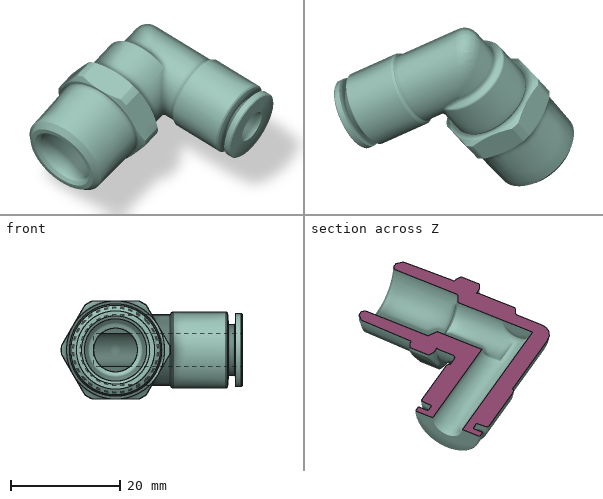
import cadquery as cq
import math


elbow_radius = 6.5
corner_tangent = 0.53

sleeve_start = 9.85
sleeve_end = 20.55
sleeve_radius = 7.0
sleeve_root_fillet = 0.27
sleeve_entry_length = 0.4
sleeve_end_chamfer = 0.27
sleeve_face_slope = 0.17
neck_radius = 4.7
collar_start = 21.95
collar_root = 0.15
outlet_end = 23.22
collar_radius = 6.73
collar_chamfer = 0.2

shoulder_start = 1.7
shoulder_end = 2.5
shoulder_fillet = 0.45
junction_fillet = 0.58
edge_margin = 0.05
body_radius = 7.9
body_end = 10.13
hex_start = 10.47
undercut_radius = 7.7
hex_end = 15.47
hex_flats = 18.0
hex_corner_radius = 9.95
hex_chamfer_angle = 30
thread_start_radius = 8.45
thread_end_radius = 8.2
thread_end = 25.98
stem_end = 27.0
stem_tip_radius = 7.17

mouth_radius = 6.25
mouth_chamfer = 0.55
counterbore_radius = mouth_radius - mouth_chamfer
counterbore_depth = 13.6
passage_radius = 4.0
cone_length = passage_radius / 4
cross_bore_radius = 3.05


def revolve_stem(profile):
    """Turn (radius, distance) points, closed back to the axis, about the stem axis."""
    points = [(0, -profile[0][1])]
    points += [(radius, -distance) for radius, distance in profile]
    points += [(0, -profile[-1][1])]
    return cq.Workplane("XY").polyline(points).close().revolve(360, (0, 0), (0, 1))


def revolve_outlet(profile):
    """Turn (distance, radius) points, closed back to the axis, about the outlet axis."""
    points = [(profile[0][0], 0)] + profile + [(profile[-1][0], 0)]
    return cq.Workplane("XY").polyline(points).close().revolve(360, (0, 0), (1, 0))


def prism(points):
    """Prism along Z, tall enough to contain the whole elbow."""
    return cq.Workplane("XY").polyline(points).close().extrude(2 * elbow_radius, both=True)


def make_corner():
    """Ellipsoid wedge that meets both tubes tangentially along planes through the origin."""
    along_diagonal = math.sqrt(1 + corner_tangent)
    across_diagonal = math.sqrt(1 - corner_tangent)
    stretch = cq.Matrix([
        [along_diagonal, 0, 0, 0],
        [0, across_diagonal, 0, 0],
        [0, 0, 1, 0],
    ])
    half_angle = math.degrees(math.atan2(across_diagonal, along_diagonal))
    wedge = (
        cq.Workplane("XZ")
        .moveTo(0, -elbow_radius)
        .threePointArc((elbow_radius, 0), (0, elbow_radius))
        .close()
        .revolve(2 * half_angle, (0, 0), (0, 1))
        .rotate((0, 0, 0), (0, 0, 1), -half_angle)
    )
    corner = cq.Workplane(wedge.val().transformGeometry(stretch))
    return corner.rotate((0, 0, 0), (0, 0, 1), 135)


def make_elbow():
    """Two equal tubes cut back to the planes where the rounded corner begins."""
    reach = 2 * elbow_radius
    outlet_tube = revolve_outlet([(-elbow_radius, elbow_radius), (sleeve_start, elbow_radius)])
    outlet_tube = outlet_tube.intersect(prism([
        (0, 0),
        (-corner_tangent * reach, reach),
        (reach, reach),
        (reach, -reach),
        (0, -reach),
    ]))
    stem_tube = revolve_stem([(elbow_radius, -elbow_radius), (elbow_radius, body_end)])
    stem_tube = stem_tube.intersect(prism([
        (0, 0),
        (-reach, corner_tangent * reach),
        (-reach, -reach),
        (reach, -reach),
        (reach, 0),
    ]))
    return outlet_tube.union(stem_tube).union(make_corner())


def make_outlet():
    """Sleeve, neck and release collar."""
    root_end = sleeve_start + sleeve_root_fillet
    root_radius = elbow_radius + sleeve_root_fillet
    arc_offset = sleeve_root_fillet * math.sqrt(0.5)
    return (
        cq.Workplane("XY")
        .moveTo(sleeve_start, 0)
        .lineTo(sleeve_start, elbow_radius)
        .threePointArc(
            (sleeve_start + arc_offset, root_radius - arc_offset),
            (root_end, root_radius),
        )
        .lineTo(root_end + sleeve_entry_length, sleeve_radius)
        .lineTo(sleeve_end - sleeve_end_chamfer, sleeve_radius)
        .lineTo(sleeve_end, sleeve_radius - sleeve_end_chamfer)
        .lineTo(sleeve_end + sleeve_face_slope, neck_radius)
        .lineTo(collar_start - collar_root, neck_radius)
        .lineTo(collar_start, neck_radius + collar_root)
        .lineTo(collar_start, collar_radius)
        .lineTo(outlet_end - collar_chamfer, collar_radius)
        .lineTo(outlet_end, collar_radius - collar_chamfer)
        .lineTo(outlet_end, 0)
        .close()
        .revolve(360, (0, 0), (1, 0))
    )


def make_hex():
    """Hexagon with its corners turned down and both faces chamfered."""
    corner_diameter = hex_flats / math.cos(math.radians(30))
    hexagon = (
        cq.Workplane("XZ", origin=(0, -hex_start, 0))
        .polygon(6, corner_diameter)
        .extrude(hex_end - hex_start)
    )
    face_radius = hex_flats / 2
    chamfer = (hex_corner_radius - face_radius) * math.tan(math.radians(hex_chamfer_angle))
    envelope = revolve_stem([
        (face_radius, hex_start),
        (hex_corner_radius, hex_start + chamfer),
        (hex_corner_radius, hex_end - chamfer),
        (face_radius, hex_end),
    ])
    return hexagon.intersect(envelope)


def ring_selector(distance):
    """Select circular edges around the stem axis at one distance along it."""
    return cq.selectors.BoxSelector(
        (-body_radius, -distance - edge_margin, -body_radius),
        (body_radius, -distance + edge_margin, body_radius),
    )


def make_body():
    """Elbow blended into the wider stem body below its sloped, rounded shoulder."""
    stem_body = revolve_stem([
        (elbow_radius, shoulder_start),
        (body_radius, shoulder_end),
        (body_radius, body_end),
    ])
    shoulder_edge = ring_selector(shoulder_end)
    stem_body = stem_body.edges(shoulder_edge).fillet(shoulder_fillet)
    body = make_elbow().union(stem_body)
    junction_edges = cq.selectors.BoxSelector(
        (0, -elbow_radius, -elbow_radius),
        (body_radius - edge_margin, -shoulder_start, elbow_radius),
    )
    shoulder_root = ring_selector(shoulder_start)
    return body.edges(junction_edges + shoulder_root).fillet(junction_fillet)


def make_thread():
    """Undercut above the hexagon, then the tapered thread blank with a chamfered tip."""
    return revolve_stem([
        (body_radius, body_end),
        (undercut_radius, hex_start),
        (undercut_radius, hex_end),
        (thread_start_radius, hex_end),
        (thread_end_radius, thread_end),
        (stem_tip_radius, stem_end),
    ])


def make_passages():
    """Stepped stem bore opening into the cross bore along the outlet."""
    counterbore_end = stem_end - counterbore_depth
    stem_bore = revolve_stem([
        (passage_radius, 0),
        (passage_radius, counterbore_end - cone_length),
        (counterbore_radius, counterbore_end),
        (counterbore_radius, stem_end - mouth_chamfer),
        (mouth_radius, stem_end),
    ])
    cross_bore = revolve_outlet([
        (-passage_radius, cross_bore_radius),
        (outlet_end, cross_bore_radius),
    ])
    return stem_bore.union(cross_bore)


outside = make_body().union(make_outlet()).union(make_thread()).union(make_hex())
result = outside.cut(make_passages())